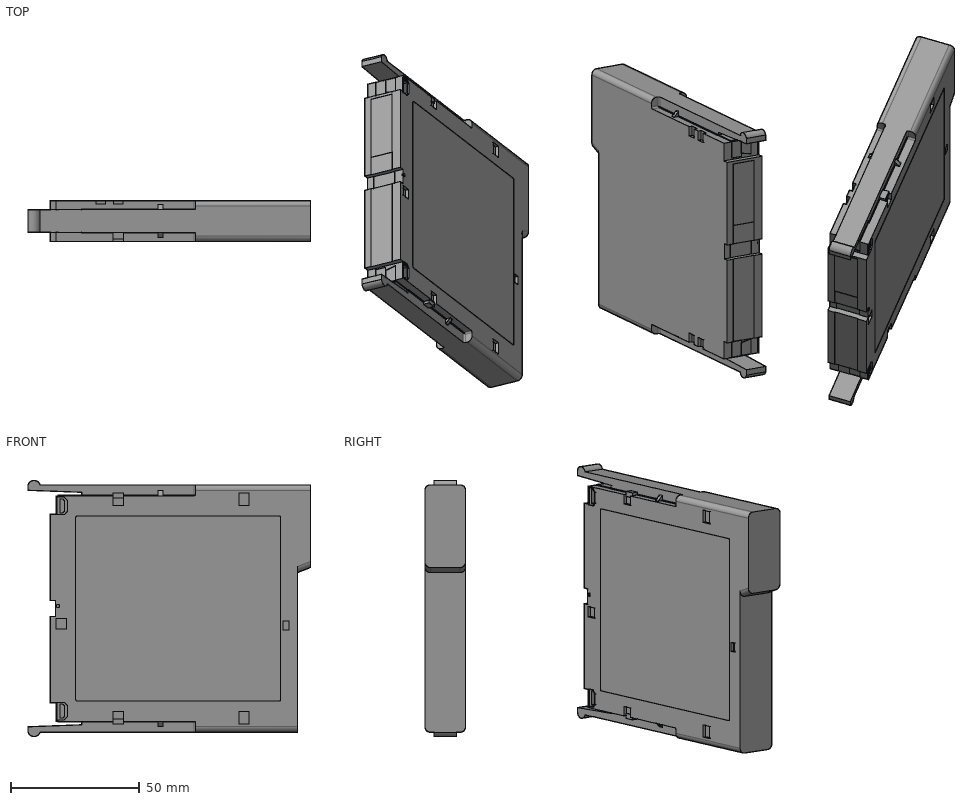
import cadquery as cq
import math


total_length = 110.2
thickness = 16.0
total_height = 100.0
half_thickness = thickness / 2

housing_front_x = 8.6
housing_back_x = 105.1
housing_half_height = 48.3
edge_radius = 2.2
nose_low_inner_z = 14.0
nose_low_outer_z = 16.0

corner_front_x = 11.0
block_half_height = 36.8
front_notch_x = 10.7
front_notch_half_height = 3.1

lever_half_width = 4.4
lever_knob_width = 4.7
lever_tip_z = 46.1
lever_root_z = 45.3
lever_root_x = 20.9
foot_half_width = 4.7
foot_height = 0.3
foot_front_x = 11.8
recess_floor_z = 44.0
recess_end_x = 65.3
recess_corner_radius = 0.7

window_width = 4.1
window_depth = 1.3
window_low_z = 40.2
window_high_z = 45.1
lug_window_x = 33.2
back_window_x = 82.2
lug_low_z = 43.1
lug_inset = 1.0
back_face_notch_xs = (26.6, 33.4)
back_face_notch_width = 3.7

gusset_x = 50.8
gusset_thickness = 1.8
gusset_size = 2.1

front_window = (11.0, -7.9, 4.1, 4.1)
back_window = (99.5, -8.4, 2.2, 3.5)

label_left_x = 18.6
label_right_x = 98.5
label_half_height = 36.1
label_corner_radius = 0.7
label_depth = 0.1

pocket_rim_x = 11.4
pocket_core_x = 12.5
pocket_core_back_x = 14.2
pocket_back_x = 15.4
pocket_low_z = 36.6
pocket_high_z = 43.4
pocket_rim_depth = 0.5
pocket_core_depth = 2.2
pocket_border = 0.7

dimple_x = 11.7
dimple_z = 1.0
dimple_radius = 0.7
dimple_depth = 0.5

panel_low_y = -4.3
panel_high_y = 5.2
panel_split_z = 10.6
panel_top_z = 35.7
upper_panel_depth = 0.1
lower_panel_depth = 0.2
key_step = 0.1
key_shallow_z = 37.4
key_low_z = 37.7
key_middle_z = 38.7


def box(x0, x1, y0, y1, z0, z1):
    """Axis-aligned box between two opposite corners."""
    return cq.Workplane("XY").box(x1 - x0, y1 - y0, z1 - z0, centered=False).translate((x0, y0, z0))


def mirrored_pair(solid):
    """The solid together with its mirror image in the middle plane Z = 0."""
    return solid.union(solid.mirror("XY"))


def side_plane(y):
    """Plane parallel to XZ at the given y; extruding goes towards -Y."""
    return cq.Workplane("XZ", origin=(0, y, 0))


def make_housing():
    outline = [
        (housing_front_x, -block_half_height),
        (corner_front_x, -block_half_height),
        (corner_front_x, -housing_half_height),
        (housing_back_x, -housing_half_height),
        (housing_back_x, nose_low_inner_z),
        (total_length, nose_low_outer_z),
        (total_length, housing_half_height),
        (corner_front_x, housing_half_height),
        (corner_front_x, block_half_height),
        (housing_front_x, block_half_height),
        (housing_front_x, front_notch_half_height),
        (front_notch_x, front_notch_half_height),
        (front_notch_x, -front_notch_half_height),
        (housing_front_x, -front_notch_half_height),
    ]
    housing = side_plane(half_thickness).polyline(outline).close().extrude(thickness)
    nose_middle_x = (housing_back_x + total_length) / 2
    nose_middle_z = (nose_low_inner_z + nose_low_outer_z) / 2
    housing = housing.edges("|X and (>Z or <Z)").fillet(edge_radius)
    for side_y in (-half_thickness, half_thickness):
        nose_edge_point = (nose_middle_x, side_y, nose_middle_z)
        housing = housing.edges(cq.selectors.NearestToPointSelector(nose_edge_point)).fillet(edge_radius)
    return housing


def make_lever_recess():
    recess_height = housing_half_height - recess_floor_z
    recess = box(
        corner_front_x, recess_end_x,
        -half_thickness, half_thickness,
        recess_floor_z, recess_floor_z + 2 * recess_height,
    )
    return recess.edges("|Y and >X and <Z").fillet(recess_corner_radius)


def make_lever():
    bar = (
        side_plane(lever_half_width)
        .moveTo(0, lever_tip_z)
        .lineTo(lever_root_x, lever_root_z)
        .lineTo(lever_root_x, recess_floor_z)
        .lineTo(recess_end_x, recess_floor_z)
        .lineTo(recess_end_x, housing_half_height)
        .lineTo(lever_knob_width, housing_half_height)
        .threePointArc((lever_knob_width / 2, total_height / 2), (0, housing_half_height))
        .close()
        .extrude(2 * lever_half_width)
    )
    foot_top_z = recess_floor_z + foot_height
    front_foot = box(
        foot_front_x, lever_root_x,
        -lever_half_width, lever_half_width,
        recess_floor_z, foot_top_z,
    )
    back_foot = box(
        lever_root_x, recess_end_x,
        -foot_half_width, foot_half_width,
        recess_floor_z, foot_top_z,
    )
    return bar.union(front_foot).union(back_foot)


def make_recess_end_fillets():
    """Concave rounding between the lever sides and the end wall of the recess."""
    radius = recess_corner_radius
    center_x = recess_end_x - radius
    center_y = lever_half_width + radius
    arc_reach = radius * math.sqrt(0.5)
    fillet = (
        cq.Workplane("XY", origin=(0, 0, recess_floor_z))
        .moveTo(center_x, lever_half_width)
        .lineTo(recess_end_x, lever_half_width)
        .lineTo(recess_end_x, center_y)
        .threePointArc((center_x + arc_reach, center_y - arc_reach), (center_x, lever_half_width))
        .close()
        .extrude(housing_half_height - recess_floor_z)
    )
    return fillet.union(fillet.mirror("XZ"))


def make_gussets():
    triangle = [
        (lever_half_width, recess_floor_z),
        (lever_half_width + gusset_size, recess_floor_z),
        (lever_half_width, recess_floor_z + gusset_size),
    ]
    gusset = cq.Workplane("YZ", origin=(gusset_x, 0, 0)).polyline(triangle).close().extrude(gusset_thickness)
    return gusset.union(gusset.mirror("XZ"))


def make_lug():
    """Snap lug that stands on the recess floor and hangs slightly over the window below it."""
    return box(
        lug_window_x, lug_window_x + window_width,
        lug_inset - half_thickness, -lever_half_width,
        lug_low_z, window_high_z,
    )


def side_window(x, z, width, height):
    """Shallow rectangular window in the -Y face."""
    return box(x, x + width, -half_thickness, window_depth - half_thickness, z, z + height)


def make_edge_windows():
    window_height = window_high_z - window_low_z
    windows = side_window(lug_window_x, window_low_z, window_width, window_height)
    windows = windows.union(side_window(back_window_x, window_low_z, window_width, window_height))
    for x in back_face_notch_xs:
        notch = box(
            x, x + back_face_notch_width,
            half_thickness - window_depth, half_thickness,
            window_low_z, recess_floor_z,
        )
        windows = windows.union(notch)
    return windows


def make_corner_pocket():
    rim = box(
        pocket_rim_x, pocket_back_x,
        -half_thickness, pocket_rim_depth - half_thickness,
        pocket_low_z, pocket_high_z,
    )
    core = box(
        pocket_core_x, pocket_core_back_x,
        -half_thickness, pocket_core_depth - half_thickness,
        pocket_low_z + pocket_border, pocket_high_z - pocket_border,
    )
    rim = rim.edges("|Y and >X").chamfer(2 * pocket_border)
    core = core.edges("|Y and >X").chamfer(pocket_border)
    return rim.union(core)


def make_corner_key():
    """Shallow two-step recess in a front corner face; the deeper half has a sloped inner end."""
    shallow = box(
        corner_front_x, corner_front_x + key_step,
        0, lever_half_width, key_shallow_z, recess_floor_z,
    )
    deep_outline = [
        (0, key_middle_z),
        (-lever_half_width, key_low_z),
        (-lever_half_width, recess_floor_z),
        (0, recess_floor_z),
    ]
    deep_plane = cq.Workplane("YZ", origin=(corner_front_x, 0, 0))
    deep = deep_plane.polyline(deep_outline).close().extrude(2 * key_step)
    return shallow.union(deep)


def make_front_panels():
    upper = box(
        housing_front_x, housing_front_x + upper_panel_depth,
        panel_low_y, panel_high_y, panel_split_z, panel_top_z,
    )
    lower = box(
        housing_front_x, housing_front_x + lower_panel_depth,
        panel_low_y, panel_high_y, -block_half_height, panel_split_z,
    )
    notch = box(
        front_notch_x, front_notch_x + lower_panel_depth,
        panel_low_y, panel_high_y, -front_notch_half_height, front_notch_half_height,
    )
    return upper.union(lower).union(notch)


def make_label_field():
    label = box(
        label_left_x, label_right_x,
        -half_thickness, label_depth - half_thickness,
        -label_half_height, label_half_height,
    )
    return label.edges("|Y").fillet(label_corner_radius)


def make_dimple():
    plane = side_plane(dimple_depth - half_thickness)
    return plane.center(dimple_x, dimple_z).circle(dimple_radius).extrude(dimple_depth)


housing = make_housing()
housing = housing.cut(mirrored_pair(make_lever_recess()))
housing = housing.cut(mirrored_pair(make_edge_windows()))
housing = housing.cut(mirrored_pair(make_corner_pocket()))
housing = housing.cut(mirrored_pair(make_corner_key()))
housing = housing.cut(side_window(*front_window))
housing = housing.cut(side_window(*back_window))
housing = housing.cut(make_front_panels())
housing = housing.cut(make_label_field())
housing = housing.cut(make_dimple())

housing = housing.union(mirrored_pair(make_lever()))
housing = housing.union(mirrored_pair(make_recess_end_fillets()))
housing = housing.union(mirrored_pair(make_gussets()))
result = housing.union(mirrored_pair(make_lug()))